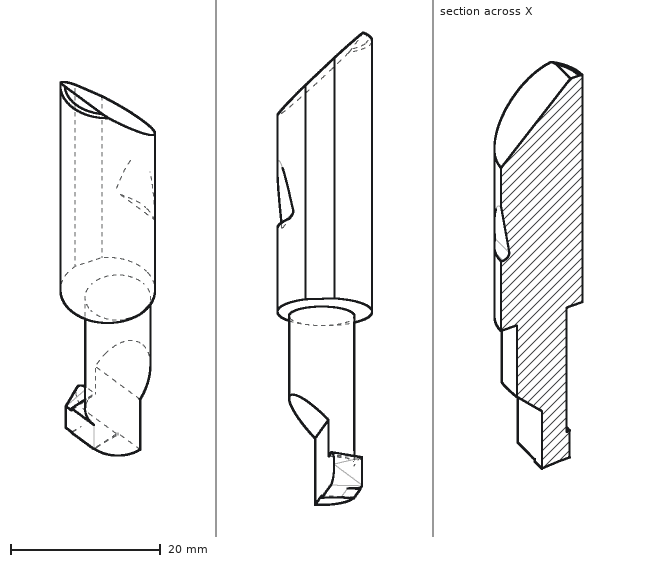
import cadquery as cq
import math

total_length = 63.4
shank_radius = 6.35
shoulder_z = 25.35

land_edge_y = -4.45
land_chamfer_width = 0.6
land_chamfer_height = 0.2

flat_span_angle = 36.0

notch_top_z = 46.05
notch_bottom_z = 37.0
notch_depth = 1.25
notch_corner_radius = 0.95

neck_radius = 4.4
neck_x = shank_radius - neck_radius
neck_left_x = neck_x - neck_radius
neck_bottom_z = 0.3
rake_runout_z = 9.6

tip_radius = 2.2
tip_x = -6.2
tip_land = 0.05
heel_x = -3.55
heel_bottom_z = 0.3
heel_top_z = 4.3
heel_corner_radius = 0.05
block_bottom_z = 0.2
block_top_z = 4.7

margin = 3.2


def profile_along_x(points):
    """Prism across the whole shank from a (y, z) outline."""
    half_width = shank_radius + margin
    return cq.Workplane("YZ").polyline(points).close().extrude(half_width, both=True)


def make_shank():
    shank = (
        cq.Workplane("XY")
        .workplane(offset=shoulder_z)
        .circle(shank_radius)
        .extrude(total_length - shoulder_z)
        .faces(">Z")
        .chamfer(land_chamfer_height, land_chamfer_width)
    )

    rise = shank_radius + margin - land_edge_y
    shank = shank.cut(profile_along_x([
        (land_edge_y, total_length),
        (land_edge_y + rise, total_length - rise),
        (land_edge_y + rise, total_length + margin),
        (land_edge_y - margin, total_length + margin),
    ]))

    flat_angle = math.radians(180 - flat_span_angle)
    flat_x = shank_radius * math.cos(flat_angle)
    flat_y = shank_radius * math.sin(flat_angle)
    flat_waste = (
        cq.Workplane("XY")
        .polyline([
            (-shank_radius, 0),
            (flat_x, flat_y),
            (-shank_radius, flat_y),
        ])
        .close()
        .extrude(total_length)
    )
    return shank.cut(flat_waste)


def make_notch():
    """Shallow ramp ending in a rounded step."""
    floor_y = shank_radius - notch_depth
    corner_z = notch_bottom_z + notch_corner_radius
    corner_y = floor_y + notch_corner_radius
    bend = notch_corner_radius * math.sqrt(0.5)
    return (
        cq.Workplane("YZ")
        .moveTo(shank_radius, notch_top_z)
        .lineTo(floor_y, corner_z)
        .threePointArc((corner_y - bend, corner_z - bend), (corner_y, notch_bottom_z))
        .lineTo(shank_radius + margin, notch_bottom_z)
        .lineTo(shank_radius + margin, notch_top_z)
        .close()
        .extrude(shank_radius, both=True)
    )


def make_neck():
    """Round neck, reduced to its -Y half below a 45 degree runout."""
    neck = (
        cq.Workplane("XY", origin=(neck_x, 0, neck_bottom_z))
        .circle(neck_radius)
        .extrude(shoulder_z - neck_bottom_z)
    )
    reach = neck_radius + margin
    return neck.cut(profile_along_x([
        (0, 0),
        (0, rake_runout_z),
        (reach, rake_runout_z + reach),
        (reach, 0),
    ]))


def add_head_outline(plane, left_x, bottom_z, top_z, corner_radius):
    """Draw one end of the cutter: a rectangle with both left corners rounded."""
    corner_x = left_x + corner_radius
    bend = corner_radius * (1 - math.sqrt(0.5))
    return (
        plane
        .moveTo(neck_x, bottom_z)
        .lineTo(corner_x, bottom_z)
        .threePointArc((left_x + bend, bottom_z + bend), (left_x, bottom_z + corner_radius))
        .lineTo(left_x, top_z - corner_radius)
        .threePointArc((left_x + bend, top_z - bend), (corner_x, top_z))
        .lineTo(neck_x, top_z)
        .close()
    )


def make_head():
    """Cutter blending from a round nose at Y = 0 to a square heel at the -Y side."""
    nose = add_head_outline(
        cq.Workplane("XZ"), tip_x, 0, 2 * tip_radius + tip_land, tip_radius
    )
    heel_plane = nose.workplane(offset=neck_radius)
    cutter = add_head_outline(
        heel_plane, heel_x, heel_bottom_z, heel_top_z, heel_corner_radius
    ).loft(ruled=True)

    block = cq.Workplane("XY", origin=(neck_left_x, -neck_radius, block_bottom_z)).box(
        neck_radius, neck_radius, block_top_z - block_bottom_z, centered=False
    )
    return cutter.union(block)


result = make_shank().cut(make_notch()).union(make_neck()).union(make_head())